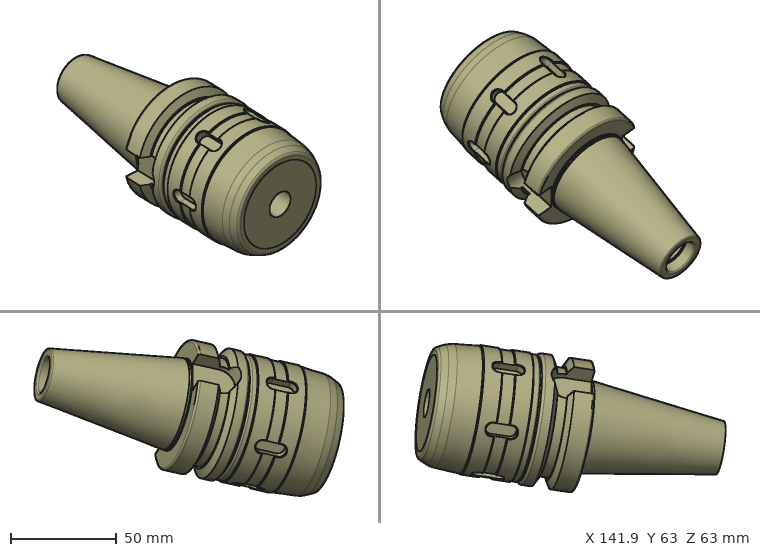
import cadquery as cq
import math

total_length = 141.9

shank_small_dia = 25.5
shank_large_dia = 44.5
shank_length = 65.5
shank_end_fillet = 0.7
relief_dia = 44.0
relief_end = 66.7
shoulder_dia = 44.8

flange_dia = 63.0
flange_start = 67.1
flange_end = 92.5
flange_front_fillet = 1.0
flange_rear_fillet = 1.3
groove_start = 77.2
groove_end = 86.7
groove_cone_width = 2.4
groove_floor_dia = 52.5
groove_angle = 60.0

key_width = 15.9
key_floor = 22.4
key_end = 88.3

mouth_fillet = 0.9
pilot_dia = 17.6
pilot_depth = 6.1
pilot_taper = 0.7
seat_dia = 17.0
seat_depth = 8.8
through_dia = 13.5

collar_dia = 59.0
nut_start = 93.4
stem_dia = 46.4

nut_dia = 62.0
recess_dia = 61.0
front_fillet = 0.9
front_land_end = 96.6
band_start = 105.5
band_end = 112.2
body_end = 120.8
nose_start = 121.5
nose_start_dia = 61.3
nose_knee = 135.7
nose_knee_dia = 59.0
nose_knee_radius = 11.4
tip_dia = 53.2
tip_fillet = 1.7

slot_count = 6
slot_middle = 109.0
slot_length = 15.2
slot_width = 6.4
slot_floor = 26.5
slot_chamfer = 0.35

tolerance = 0.07
recess_depth = (nut_dia - recess_dia) / 2


def turned(outline):
    """Solid of revolution about the X axis from (axial position, diameter) pairs."""
    points = [(x, dia / 2) for x, dia in outline]
    return cq.Workplane("XY").polyline(points).close().revolve(360, (0, 0, 0), (1, 0, 0))


def edges_at(x, dia):
    """Selector for the turned edges at one axial position, up to the given diameter."""
    reach = dia / 2 + tolerance
    low_corner = (x - tolerance, -reach, -reach)
    high_corner = (x + tolerance, reach, reach)
    return cq.selectors.BoxSelector(low_corner, high_corner, boundingbox=True)


def holder_blank():
    groove_side_dia = flange_dia - 2 * groove_cone_width * math.tan(math.radians(groove_angle))
    blank = turned([
        (0, 0),
        (0, shank_small_dia),
        (shank_length, shank_large_dia),
        (shank_length, relief_dia),
        (relief_end, relief_dia),
        (relief_end, shoulder_dia),
        (flange_start, shoulder_dia),
        (flange_start, flange_dia),
        (groove_start, flange_dia),
        (groove_start + groove_cone_width, groove_side_dia),
        (groove_start + groove_cone_width, groove_floor_dia),
        (groove_end - groove_cone_width, groove_floor_dia),
        (groove_end - groove_cone_width, groove_side_dia),
        (groove_end, flange_dia),
        (flange_end, flange_dia),
        (flange_end, collar_dia),
        (nut_start, collar_dia),
        (nut_start, stem_dia),
        (total_length, stem_dia),
        (total_length, 0),
    ])
    shank_edge = edges_at(0, shank_small_dia)
    flange_front_edge = edges_at(flange_start, flange_dia) - edges_at(flange_start, shoulder_dia)
    flange_rear_edge = edges_at(flange_end, flange_dia) - edges_at(flange_end, collar_dia)
    blank = blank.edges(shank_edge).fillet(shank_end_fillet)
    blank = blank.edges(flange_front_edge).fillet(flange_front_fillet)
    return blank.edges(flange_rear_edge).fillet(flange_rear_fillet)


def pull_stud_bore():
    return turned([
        (0, 0),
        (0, pilot_dia),
        (pilot_depth, pilot_dia),
        (pilot_depth + pilot_taper, seat_dia),
        (seat_depth, seat_dia),
        (seat_depth, through_dia),
        (total_length, through_dia),
        (total_length, 0),
    ])


def keyway(side):
    """Round-ended drive keyway, open at the shank side; side is -1 or +1 along Y."""
    radius = key_width / 2
    arc_centre = key_end - radius
    height = flange_dia / 2 - key_floor
    return (
        cq.Workplane("XZ", origin=(0, side * key_floor, 0))
        .moveTo(flange_start, -radius)
        .lineTo(arc_centre, -radius)
        .threePointArc((key_end, 0), (arc_centre, radius))
        .lineTo(flange_start, radius)
        .close()
        .extrude(-side * height)
    )


def make_holder():
    body = holder_blank().cut(pull_stud_bore())
    body = body.edges(edges_at(0, pilot_dia)).fillet(mouth_fillet)
    for side in (-1, 1):
        body = body.cut(keyway(side))
    return body


def nut_blank():
    blank = turned([
        (nut_start, stem_dia),
        (nut_start, recess_dia),
        (front_land_end, recess_dia),
        (front_land_end + recess_depth, nut_dia),
        (body_end, nut_dia),
        (nose_start, nose_start_dia),
        (nose_knee, nose_knee_dia),
        (total_length, tip_dia),
        (total_length, stem_dia),
    ])
    front_edge = edges_at(nut_start, recess_dia) - edges_at(nut_start, stem_dia)
    tip_edge = edges_at(total_length, tip_dia) - edges_at(total_length, stem_dia)
    blank = blank.edges(front_edge).fillet(front_fillet)
    blank = blank.edges(edges_at(nose_knee, nose_knee_dia)).fillet(nose_knee_radius)
    return blank.edges(tip_edge).fillet(tip_fillet)


def spanner_slots():
    """Flat-bottomed rounded slots, evenly spaced about X, the first on the -Y side."""
    height = nut_dia / 2 - slot_floor
    slot = (
        cq.Workplane("XZ", origin=(slot_middle, -slot_floor, 0))
        .slot2D(slot_length, slot_width)
        .extrude(height)
    )
    slots = cq.Workplane("XY")
    for index in range(slot_count):
        slots = slots.add(slot.rotate((0, 0, 0), (1, 0, 0), index * 360 / slot_count))
    return slots.combine()


def middle_band():
    """Shallow ring with sloping sides, cut around the middle of the nut."""
    return turned([
        (band_start, nut_dia),
        (band_start + recess_depth, recess_dia),
        (band_end - recess_depth, recess_dia),
        (band_end, nut_dia),
    ])


def is_slot_rim(edge):
    """True for an edge of a slot mouth, lying on the outer surface of the nut."""
    inside_slot = abs(edge.Center().x - slot_middle) < slot_length / 2
    end = edge.startPoint()
    other_end = edge.endPoint()
    radii = (math.hypot(end.y, end.z), math.hypot(other_end.y, other_end.z))
    return inside_slot and min(radii) > nut_dia / 2 - tolerance


def make_nut():
    body = nut_blank().cut(spanner_slots())
    body = body.edges().filter(is_slot_rim).chamfer(slot_chamfer)
    return body.cut(middle_band())


holder = make_holder()
nut = make_nut()
result = cq.Compound.makeCompound([holder.val(), nut.val()])